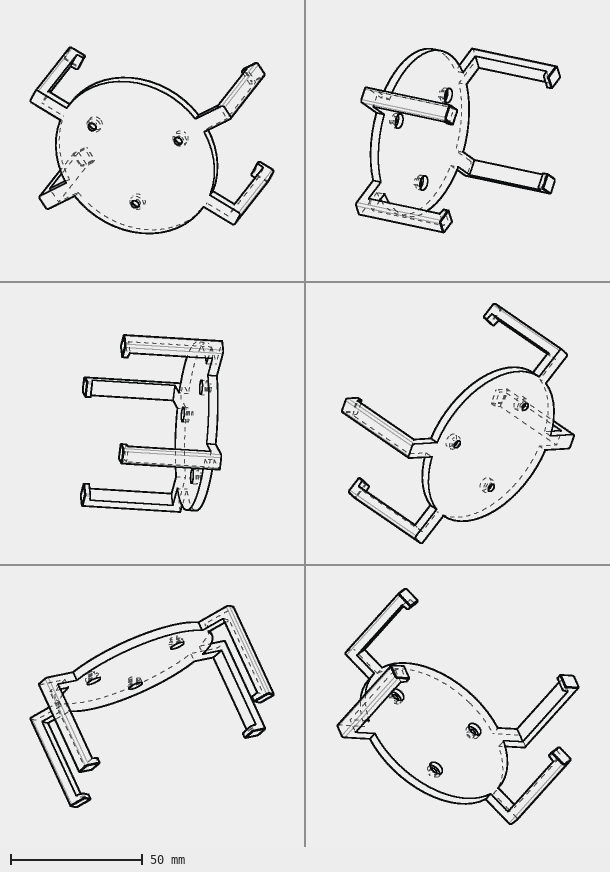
import cadquery as cq

depth = 38.0
plate_diameter = 64.0
plate_thickness = 3.55

hole_diameter = 3.0
counterbore_diameter = 5.5
counterbore_depth = 2.0
hole_circle_radius = 20.0
hole_count = 3
first_hole_angle = 30

arm_angles = (35, 155, 215, 335)
arm_width = 6.1
arm_reach = 45.5
arm_corner_radius = 0.9
leg_inner_radius = 41.5
hook_inner_radius = 38.6
hook_corner_radius = 0.5
end_chamfer = 0.25
hook_thickness = 2.1
hook_root_thickness = 2.5


def make_plate():
    """Disc with its front face on y = 0, growing toward +Y."""
    return cq.Workplane("XZ").circle(plate_diameter / 2).extrude(-plate_thickness)


def make_inner_space():
    """Body of revolution about Y that the legs and hooks wrap around."""
    return (
        cq.Workplane("XY")
        .moveTo(0, plate_thickness)
        .lineTo(leg_inner_radius, plate_thickness)
        .lineTo(leg_inner_radius, depth - hook_root_thickness)
        .lineTo(hook_inner_radius, depth - hook_thickness)
        .lineTo(hook_inner_radius, depth)
        .lineTo(0, depth)
        .close()
        .revolve(360, (0, 0, 0), (0, 1, 0))
    )


def make_arm():
    """Arm, leg and hook along +X, with the inner faces curved about Y."""
    arm = cq.Workplane("XY").rect(arm_reach, depth, centered=False).extrude(arm_width / 2, both=True)
    arm = arm.cut(make_inner_space())
    arm = arm.edges("|Y and >X").fillet(arm_corner_radius)
    hook_tip_corners = cq.selectors.BoxSelector(
        (0, depth - hook_thickness, -arm_width),
        (hook_inner_radius, depth, arm_width),
    )
    arm = arm.edges(hook_tip_corners).edges("|Y").fillet(hook_corner_radius)
    return arm.faces(">Y").chamfer(end_chamfer)


def make_hole_ring(diameter, start_y):
    """Ring of cylinders from start_y to the leg side of the plate."""
    return (
        cq.Workplane("XZ", origin=(0, start_y, 0))
        .polarArray(hole_circle_radius, first_hole_angle, 360, hole_count)
        .circle(diameter / 2)
        .extrude(start_y - plate_thickness)
    )


result = make_plate()
arm = make_arm()
for angle in arm_angles:
    result = result.union(arm.rotate((0, 0, 0), (0, 1, 0), -angle))
result = result.cut(make_hole_ring(hole_diameter, 0))
result = result.cut(make_hole_ring(counterbore_diameter, plate_thickness - counterbore_depth))